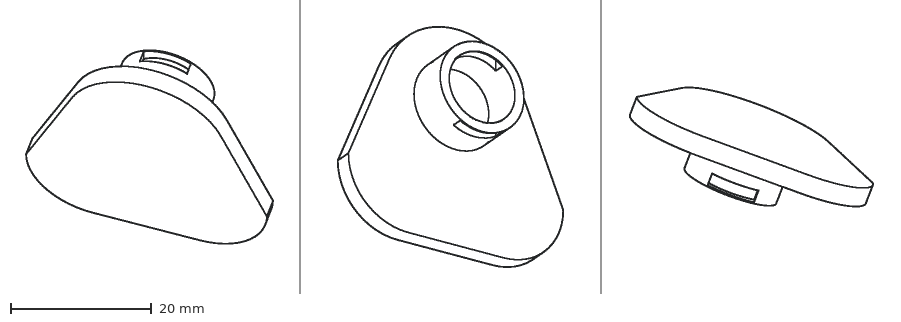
import cadquery as cq
import math

plate_width = 35.92
plate_height = 34.0
plate_thickness = 2.9
top_radius = 12.0
corner_radius = 10.0
total_depth = 10.0
boss_diameter = 14.0
boss_wall = 1.5
slot_length = 7.05
slot_width = 1.8
rim_thickness = 0.2

half_width = plate_width / 2
corner_x = half_width - corner_radius
boss_z = plate_height - top_radius
boss_length = total_depth - plate_thickness
slot_y = total_depth - rim_thickness - slot_width / 2

side_drop = boss_z - corner_radius
side_distance = math.hypot(half_width, side_drop)
tangent_angle = math.acos(top_radius / side_distance) - math.atan2(side_drop, half_width)
tangent_x = top_radius * math.cos(tangent_angle)
tangent_z = boss_z + top_radius * math.sin(tangent_angle)


def make_plate():
    """Rounded triangular plate, extruded from Y = 0 toward +Y."""
    arc_x = corner_x + corner_radius * math.sqrt(0.5)
    arc_z = corner_radius * (1 - math.sqrt(0.5))
    return (
        cq.Workplane("XZ")
        .moveTo(-corner_x, 0)
        .lineTo(corner_x, 0)
        .threePointArc((arc_x, arc_z), (half_width, corner_radius))
        .lineTo(tangent_x, tangent_z)
        .threePointArc((0, plate_height), (-tangent_x, tangent_z))
        .lineTo(-half_width, corner_radius)
        .threePointArc((-arc_x, arc_z), (-corner_x, 0))
        .close()
        .extrude(-plate_thickness)
    )


def make_boss():
    """Hollow round boss behind the plate, open at its far end."""
    outer_radius = boss_diameter / 2
    return (
        cq.Workplane("XZ", origin=(0, plate_thickness, boss_z))
        .circle(outer_radius)
        .circle(outer_radius - boss_wall)
        .extrude(-boss_length)
    )


def make_slot():
    """Cutter passing through the top and bottom walls of the boss."""
    cutter_height = boss_diameter + 2 * boss_wall
    return cq.Workplane("XY").box(slot_length, slot_width, cutter_height).translate((0, slot_y, boss_z))


result = make_plate().union(make_boss().cut(make_slot()))